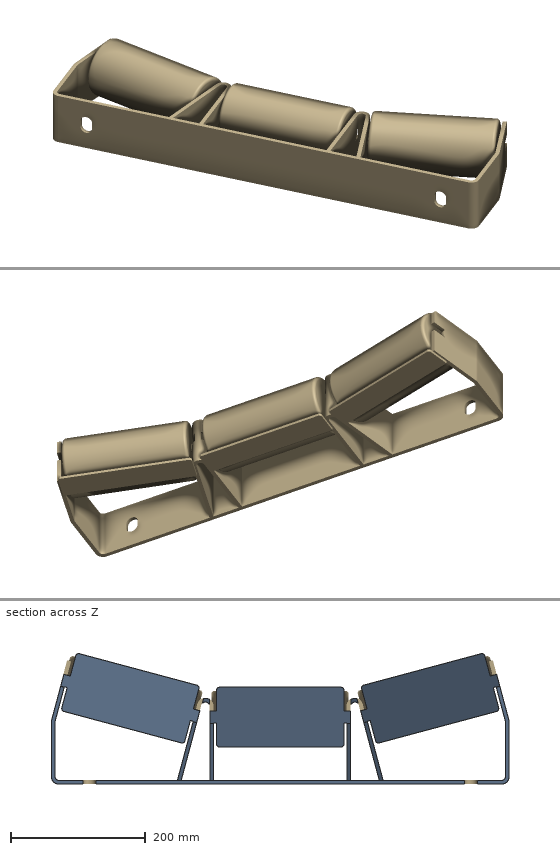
import cadquery as cq
import math


FRAME_LENGTH = 680.0
SHEET_HEIGHT = 80.0
SHEET = 6.0
BEND_RADIUS = 12.0
TILT = 15.0

ROLLER_RADIUS = 45.0
ROLLER_LENGTH = 190.0
ROLLER_FILLET = 5.0
AXIS_Z = 48.0
SEAT_HALF_GAP = 98.5
SHAFT_DIAMETER = 20.0
SHAFT_FLAT_WIDTH = 15.0

CENTRE_Y = 100.0
SIDE_X = 222.5
SIDE_Y = 128.0

KNEE_RADIUS = 15.0
ARM_CHAMFER = 3.5
ARM_END = 30.0
MOUNT_SLOT_X = 283.0
MOUNT_SLOT_LENGTH = 27.0
MOUNT_SLOT_WIDTH = 19.0

GUARD_HALF_LENGTH = SEAT_HALF_GAP + SHEET / 2
GUARD_WIDTH = 38.0
GUARD_THICKNESS = 4.0
GUARD_CHAMFER = 3.0

SIN = math.sin(math.radians(TILT))
COS = math.cos(math.radians(TILT))
SHAFT_LENGTH = 2 * (SEAT_HALF_GAP + SHEET)

LEFT_SEAT = (-SIDE_X, SIDE_Y, -TILT)
CENTRE_SEAT = (0.0, CENTRE_Y, 0.0)
RIGHT_SEAT = (SIDE_X, SIDE_Y, TILT)
SEATS = [LEFT_SEAT, CENTRE_SEAT, RIGHT_SEAT]


def place(shape, seat):
    """Move a shape from roller coordinates (axis along X, middle at the origin) to its seat."""
    x, y, turn = seat
    return shape.rotate((0, 0, 0), (0, 0, 1), turn).translate((x, y, 0))


def left_seat_point(along, across):
    """Plan position of a point given along and across the axis of the left roller."""
    return (-SIDE_X + along * COS + across * SIN, SIDE_Y - along * SIN + across * COS)


def make_cylinder(radius, length):
    """Cylinder along X with its middle at the origin."""
    return cq.Workplane("YZ").workplane(offset=-length / 2).circle(radius).extrude(length)


def make_shaft():
    """Round shaft with flats above and below."""
    rod = make_cylinder(SHAFT_DIAMETER / 2, SHAFT_LENGTH)
    flats = cq.Workplane("XY").box(SHAFT_LENGTH, SHAFT_DIAMETER, SHAFT_FLAT_WIDTH)
    return rod.intersect(flats).translate((0, 0, AXIS_Z))


def make_roller():
    """Roller drum with rounded ends on its shaft."""
    drum = make_cylinder(ROLLER_RADIUS, ROLLER_LENGTH)
    drum = drum.edges("%CIRCLE").fillet(ROLLER_FILLET).translate((0, 0, AXIS_Z))
    return drum.union(make_shaft())


def make_shaft_slots():
    """Room for one shaft, open towards +Y so that it can be dropped into its seats."""
    entry = cq.Workplane("XY").box(
        SHAFT_LENGTH, ROLLER_RADIUS, SHAFT_FLAT_WIDTH, centered=(True, False, True)
    )
    return entry.translate((0, 0, AXIS_Z)).union(make_shaft())


def make_guard():
    """Flat plate on the +Y side of a roller axis, against the lower edges of the sheets."""
    plate = cq.Workplane("XY").box(
        2 * GUARD_HALF_LENGTH, GUARD_WIDTH, GUARD_THICKNESS, centered=(True, False, False)
    )
    plate = plate.edges("|Z").edges(">Y").chamfer(GUARD_CHAMFER)
    return plate.translate((0, 0, -GUARD_THICKNESS))


def cut_slots(body):
    """Cut the shaft slots of all three rollers."""
    for seat in SEATS:
        body = body.cut(place(make_shaft_slots(), seat))
    return body


def half_frame_outline(inset):
    """Left half of the frame outline, moved inwards by inset."""
    side_x = -FRAME_LENGTH / 2 + inset
    face = -(SEAT_HALF_GAP + SHEET - inset)
    tip = left_seat_point(face, ARM_END)
    knee_y = tip[1] - (tip[0] - side_x) * COS / SIN
    return [(0, inset), (side_x, inset), (side_x, knee_y), tip]


def round_upright_edge(body, corner, radius):
    """Round the edge that stands upright at a corner given in plan."""
    x, y = corner
    edge = cq.selectors.NearestToPointSelector((x, y, SHEET_HEIGHT / 2))
    return body.edges(edge).fillet(radius)


def make_frame():
    """Base strip with both ends folded up, sloping arms, mounting slots and side guards."""
    outer = half_frame_outline(0)
    inner = half_frame_outline(SHEET)
    half = cq.Workplane("XY").polyline(outer + inner[::-1]).close().extrude(SHEET_HEIGHT)
    half = round_upright_edge(half, outer[1], BEND_RADIUS)
    half = round_upright_edge(half, inner[1], BEND_RADIUS - SHEET)
    half = round_upright_edge(half, outer[2], KNEE_RADIUS)
    half = round_upright_edge(half, inner[2], KNEE_RADIUS - SHEET)
    tip_x, tip_y = left_seat_point(-SEAT_HALF_GAP - SHEET / 2, ARM_END)
    tip_edge = cq.selectors.NearestToPointSelector((tip_x, tip_y, SHEET_HEIGHT))
    half = half.edges(tip_edge).chamfer(ARM_CHAMFER)
    frame = half.union(half.mirror("YZ"))

    mount_slots = (
        cq.Workplane("XZ")
        .pushPoints([(-MOUNT_SLOT_X, SHEET_HEIGHT / 2), (MOUNT_SLOT_X, SHEET_HEIGHT / 2)])
        .slot2D(MOUNT_SLOT_LENGTH, MOUNT_SLOT_WIDTH, 90)
        .extrude(-SHEET)
    )
    frame = cut_slots(frame.cut(mount_slots))
    for seat in (LEFT_SEAT, RIGHT_SEAT):
        frame = frame.union(place(make_guard(), seat))
    return frame


def make_bracket():
    """Left bracket: an upright leg and a sloping leg joined by a round fold, standing on the base."""
    fold_x = -SEAT_HALF_GAP - BEND_RADIUS
    fold_offset = SEAT_HALF_GAP + BEND_RADIUS
    fold_y = SIDE_Y + ((fold_x + SIDE_X) * COS - fold_offset) / SIN

    def fold_block(radius):
        """Solid enclosed by the fold of the given radius and the leg faces tangent to it."""
        tangent = (fold_x - radius * COS, fold_y + radius * SIN)
        foot_x = tangent[0] - (tangent[1] - SHEET) * SIN / COS
        return (
            cq.Workplane("XY")
            .moveTo(foot_x, SHEET)
            .lineTo(*tangent)
            .threePointArc((fold_x, fold_y + radius), (fold_x + radius, fold_y))
            .lineTo(fold_x + radius, SHEET)
            .close()
            .extrude(SHEET_HEIGHT)
        )

    return cut_slots(fold_block(BEND_RADIUS).cut(fold_block(BEND_RADIUS - SHEET)))


frame = make_frame()
rollers = [place(make_roller(), seat) for seat in SEATS]

plain_bracket = make_bracket()
left_bracket = plain_bracket.union(place(make_guard(), CENTRE_SEAT))
right_bracket = plain_bracket.mirror("YZ")

result = cq.Compound.makeCompound(
    [frame.val(), left_bracket.val(), right_bracket.val(), *[roller.val() for roller in rollers]]
)